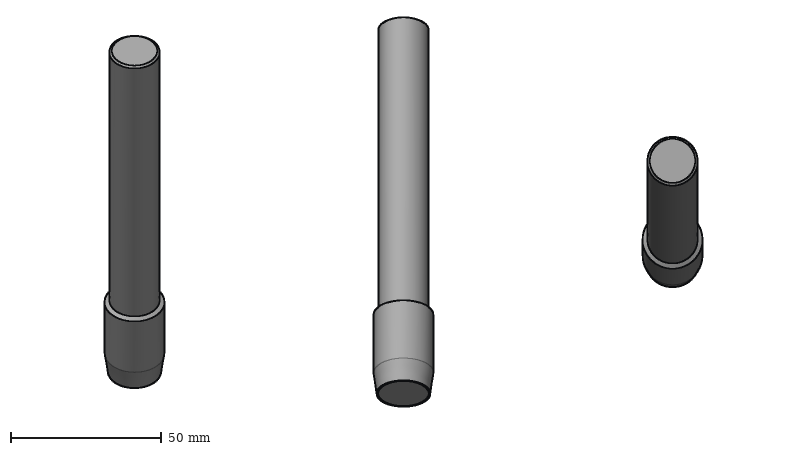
import cadquery as cq

PIN_LENGTH = 140.0
PIN_RADIUS = 8.4
PIN_CHAMFER_WIDTH = 0.8
PIN_CHAMFER_HEIGHT = 0.5

SLEEVE_DIAMETER = 20.0
SLEEVE_RADIUS = SLEEVE_DIAMETER / 2
SLEEVE_HEIGHT = 31.0
SHOULDER_HEIGHT = 0.8
TAPER_HEIGHT = 8.0
TAPER_END_RADIUS = 9.0


def make_pin():
    """Round pin standing on Z = 0, as a revolved half outline (radius, height)."""
    outline = [
        (0, 0),
        (PIN_RADIUS, 0),
        (PIN_RADIUS, PIN_LENGTH - PIN_CHAMFER_HEIGHT),
        (PIN_RADIUS - PIN_CHAMFER_WIDTH, PIN_LENGTH),
        (0, PIN_LENGTH),
    ]
    return cq.Workplane("XZ").polyline(outline).close().revolve(360, (0, 0), (0, 1))


def make_sleeve():
    """Sleeve bored through for the pin, tapered below and with a conical shoulder on top."""
    outline = [
        (PIN_RADIUS, 0),
        (TAPER_END_RADIUS, 0),
        (SLEEVE_RADIUS, TAPER_HEIGHT),
        (SLEEVE_RADIUS, SLEEVE_HEIGHT - SHOULDER_HEIGHT),
        (PIN_RADIUS, SLEEVE_HEIGHT),
    ]
    return cq.Workplane("XZ").polyline(outline).close().revolve(360, (0, 0), (0, 1))


pin = make_pin()
sleeve = make_sleeve()
result = cq.Compound.makeCompound([pin.val(), sleeve.val()])